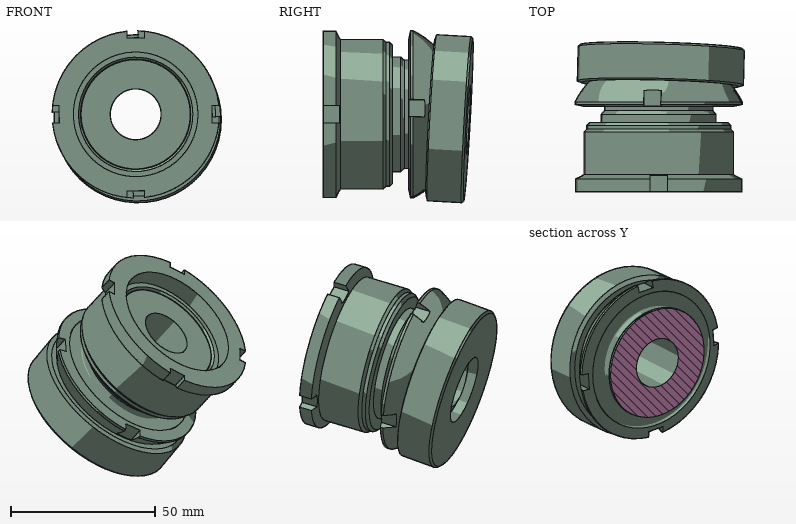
import cadquery as cq
import math


rim_radius = 29.0
slot_width = 5.95
slot_floor_radius = 26.5
slot_count = 4
thread_radius = 19.9
bore_radius = 19.1

flange_thickness = 4.4
flange_taper_top = 5.95
body_radius = 25.95
body_top = 20.7
collar_radius = 25.0
collar_base = 21.7
nut_top = 24.05
collar_chamfer = 1.0
counterbore_radius = 21.6
counterbore_depth = 5.95
bore_chamfer = 0.7

bolt_hole_radius = 8.75
stud_start = counterbore_depth + bore_chamfer
stud_end_chamfer = 0.2
thread_top = 26.85
runout_radius = 19.1
runout_top = 27.75
neck_radius = 18.85
neck_start = 28.15
seat_bottom = 29.6
seat_bottom_radius = 25.95
recess_radius = 24.9
recess_depth = 1.0
recess_fillet = 0.5
seat_edge_bottom = 30.25
seat_edge_top = 31.2
seat_turn = -4.5

ball_center = 16.45
ball_radius = math.hypot(rim_radius, seat_edge_top - ball_center)

ring_radius = 28.9
ring_front = 37.75
ring_back = 50.35
ring_back_chamfer = 0.7
lip_radius = 27.2
lip_height = 0.55
ring_seat_radius = 24.8
ring_bore_radius = 11.95
tilt_about_x = -3.2
tilt_about_z = -1.5


def ball_y(radius):
    """Height along Y of the ball surface at a distance from the axis."""
    return ball_center + math.sqrt(ball_radius**2 - radius**2)


def revolve_about_y(profile):
    """Turn a closed (radius, y) profile around the Y axis."""
    return profile.close().revolve(360, (0, 0, 0), (0, 1, 0))


def cut_spanner_slots(body, y_start, y_end):
    """Cut flat-floored slots into the rim, evenly spaced around Y."""
    radial_depth = rim_radius - slot_floor_radius + 0.6
    for index in range(slot_count):
        slot = (
            cq.Workplane("XY")
            .box(slot_width, y_end - y_start, radial_depth, centered=(True, False, False))
            .translate((0, y_start, slot_floor_radius))
            .rotate((0, 0, 0), (0, 1, 0), index * 360 / slot_count)
        )
        body = body.cut(slot)
    return body


def make_nut():
    profile = cq.Workplane("XY").polyline([
        (counterbore_radius, 0),
        (rim_radius, 0),
        (rim_radius, flange_thickness),
        (body_radius, flange_taper_top),
        (body_radius, body_top),
        (collar_radius, collar_base),
        (collar_radius, nut_top - collar_chamfer),
        (collar_radius - collar_chamfer, nut_top),
        (bore_radius, nut_top),
        (bore_radius, counterbore_depth + bore_chamfer),
        (bore_radius + bore_chamfer, counterbore_depth),
        (counterbore_radius, counterbore_depth),
    ])
    return cut_spanner_slots(revolve_about_y(profile), 0, flange_taper_top)


def quarter_arc_middle(center, radius, side):
    """Middle of an upper quarter arc; side is -1 towards the axis, +1 away from it."""
    offset = radius * math.sqrt(0.5)
    return (center[0] + side * offset, center[1] + offset)


def make_ball_stud():
    recess_floor = seat_bottom + recess_depth
    inner_center = (neck_radius + recess_fillet, recess_floor - recess_fillet)
    outer_center = (recess_radius - recess_fillet, recess_floor - recess_fillet)
    arc_middle_radius = (rim_radius + bolt_hole_radius) / 2
    profile = (
        cq.Workplane("XY")
        .polyline([
            (bolt_hole_radius, stud_start),
            (bore_radius - stud_end_chamfer, stud_start),
            (bore_radius, stud_start + stud_end_chamfer),
            (bore_radius, nut_top),
            (thread_radius, nut_top),
            (thread_radius, thread_top),
            (runout_radius, runout_top),
            (neck_radius, neck_start),
            (neck_radius, recess_floor - recess_fillet),
        ])
        .threePointArc(
            quarter_arc_middle(inner_center, recess_fillet, -1),
            (neck_radius + recess_fillet, recess_floor),
        )
        .lineTo(recess_radius - recess_fillet, recess_floor)
        .threePointArc(
            quarter_arc_middle(outer_center, recess_fillet, 1),
            (recess_radius, recess_floor - recess_fillet),
        )
        .lineTo(recess_radius, seat_bottom)
        .lineTo(seat_bottom_radius, seat_bottom)
        .lineTo(rim_radius, seat_edge_bottom)
        .lineTo(rim_radius, seat_edge_top)
        .threePointArc(
            (arc_middle_radius, ball_y(arc_middle_radius)),
            (bolt_hole_radius, ball_y(bolt_hole_radius)),
        )
    )
    stud = cut_spanner_slots(revolve_about_y(profile), seat_bottom, ring_front)
    return stud.rotate((0, 0, 0), (0, 1, 0), seat_turn)


def make_support_ring():
    arc_middle_radius = (ring_seat_radius + ring_bore_radius) / 2
    profile = (
        cq.Workplane("XY")
        .moveTo(ring_bore_radius, ball_y(ring_bore_radius))
        .threePointArc(
            (arc_middle_radius, ball_y(arc_middle_radius)),
            (ring_seat_radius, ball_y(ring_seat_radius)),
        )
        .lineTo(lip_radius, ring_front - lip_height)
        .lineTo(ring_radius, ring_front)
        .lineTo(ring_radius, ring_back - ring_back_chamfer)
        .lineTo(ring_radius - ring_back_chamfer, ring_back)
        .lineTo(ring_bore_radius, ring_back)
    )
    pivot = (0, ball_center, 0)
    return (
        revolve_about_y(profile)
        .rotate(pivot, (1, ball_center, 0), tilt_about_x)
        .rotate(pivot, (0, ball_center, 1), tilt_about_z)
    )


nut = make_nut()
ball_stud = make_ball_stud()
support_ring = make_support_ring()

result = cq.Compound.makeCompound([nut.val(), ball_stud.val(), support_ring.val()])